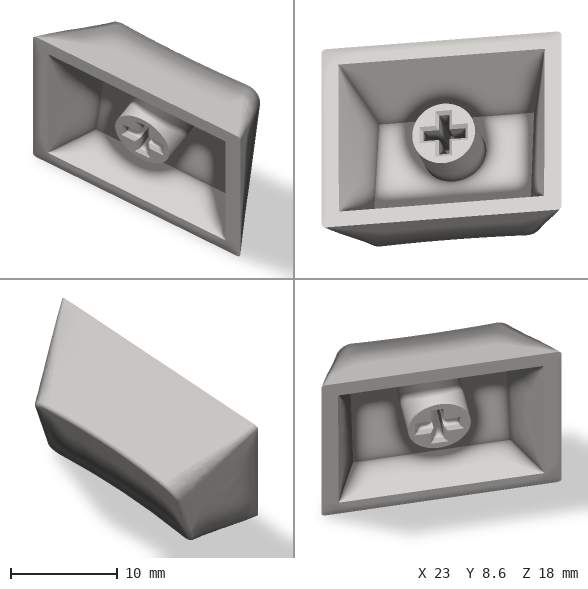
import cadquery as cq
import math


mouth_width = 22.95
mouth_height = 18.0
mouth_corner_radius = 0.4

top_width = 16.8
top_front_y = 6.1
top_front_z = -mouth_height / 2
top_back_y = 8.776
back_wall_slope = 2.07
top_back_z = mouth_height / 2 - top_back_y / back_wall_slope
top_corner_radius = 1.68
body_sections = 7

dish_radius = 74.0
dish_depth = 0.48
dish_rim_radius = 0.4

cavity_front_z = -7.5
opening_back_z = 7.35
opening_front_width = 19.62
opening_back_width = 19.74
ceiling_front_y = 4.77
ceiling_front_width = 15.0
ceiling_back_y = 7.08
ceiling_back_z = 3.9
ceiling_back_width = 14.8

stem_diameter = 6.0
stem_recess = 1.0
cross_width = 4.0
cross_height = 3.92
cross_slot = 0.98
flare_margin = 0.33
flare_depth = flare_margin


def blend(start, end, fraction):
    """Linear interpolation between two values."""
    return start + (end - start) * fraction


def tilted_plane(front, back):
    """Plane midway between two (Y, Z) points: local x along X, local y from front to back."""
    origin = (0, (front[0] + back[0]) / 2, (front[1] + back[1]) / 2)
    normal = (0, front[1] - back[1], back[0] - front[0])
    return cq.Plane(origin=origin, xDir=(1, 0, 0), normal=normal)


def rounded_rectangle(front, back, width, radius):
    """Round-cornered rectangle across X, spanning two (Y, Z) points."""
    x = width / 2
    y = math.dist(front, back) / 2
    inset = radius * (1 - math.sqrt(0.5))
    outline = (
        cq.Workplane(tilted_plane(front, back))
        .moveTo(radius - x, -y)
        .lineTo(x - radius, -y)
        .threePointArc((x - inset, inset - y), (x, radius - y))
        .lineTo(x, y - radius)
        .threePointArc((x - inset, y - inset), (x - radius, y))
        .lineTo(radius - x, y)
        .threePointArc((inset - x, y - inset), (-x, y - radius))
        .lineTo(-x, radius - y)
        .threePointArc((inset - x, inset - y), (radius - x, -y))
        .close()
    )
    return outline.val()


def trapezoid(front, back, front_width, back_width):
    """Symmetric trapezoid across X, spanning two (Y, Z) points."""
    y = math.dist(front, back) / 2
    corners = [
        (-front_width / 2, -y),
        (front_width / 2, -y),
        (back_width / 2, y),
        (-back_width / 2, y),
    ]
    return cq.Workplane(tilted_plane(front, back)).polyline(corners).close().val()


def make_body():
    """Tapered block whose corner radius grows smoothly from the mouth to the top."""
    wires = []
    for index in range(body_sections):
        rise = index / (body_sections - 1)
        smooth_rise = rise**2 * (3 - 2 * rise)
        front = (top_front_y * rise, top_front_z)
        back = (top_back_y * rise, blend(mouth_height / 2, top_back_z, rise))
        width = blend(mouth_width, top_width, rise)
        radius = blend(mouth_corner_radius, top_corner_radius, smooth_rise)
        wires.append(rounded_rectangle(front, back, width, radius))
    return cq.Workplane(cq.Solid.makeLoft(wires))


def cut_dish(body):
    """Hollow the top with a large cylinder and round the rim of the dish."""
    top = tilted_plane((top_front_y, top_front_z), (top_back_y, top_back_z))
    across = cq.Plane(origin=top.origin, xDir=(1, 0, 0), normal=top.yDir)
    cylinder = (
        cq.Workplane(across)
        .center(0, dish_radius - dish_depth)
        .circle(dish_radius)
        .extrude(mouth_height, both=True)
    )
    dished = body.cut(cylinder)
    rim = dished.faces("%CYLINDER").val().Edges()
    return dished.newObject(rim).fillet(dish_rim_radius)


def make_cavity():
    """Tapered hollow from the mouth opening to the tilted ceiling."""
    opening = trapezoid(
        (0, cavity_front_z),
        (0, opening_back_z),
        opening_front_width,
        opening_back_width,
    )
    ceiling = trapezoid(
        (ceiling_front_y, cavity_front_z),
        (ceiling_back_y, ceiling_back_z),
        ceiling_front_width,
        ceiling_back_width,
    )
    return cq.Workplane(cq.Solid.makeLoft([opening, ceiling], True))


def stem_end():
    """Workplane on the free end of the stem; negative extrusion runs into the cap."""
    return cq.Workplane("XZ", origin=(0, stem_recess, 0))


def make_slot(width, height):
    """One bar of the cross socket, flared at the stem end."""
    straight = stem_end().rect(width, height).extrude(-ceiling_back_y)
    flare = (
        stem_end()
        .rect(width + 2 * flare_margin, height + 2 * flare_margin)
        .workplane(offset=-flare_depth)
        .rect(width, height)
        .loft(ruled=True)
    )
    return straight.union(flare)


def make_stem():
    """Round post with the cross socket along its whole length."""
    post = stem_end().circle(stem_diameter / 2).extrude(-ceiling_back_y)
    socket = make_slot(cross_width, cross_slot).union(make_slot(cross_slot, cross_height))
    return post.cut(socket)


hollow = make_cavity().cut(make_stem())
result = cut_dish(make_body()).cut(hollow).solids()